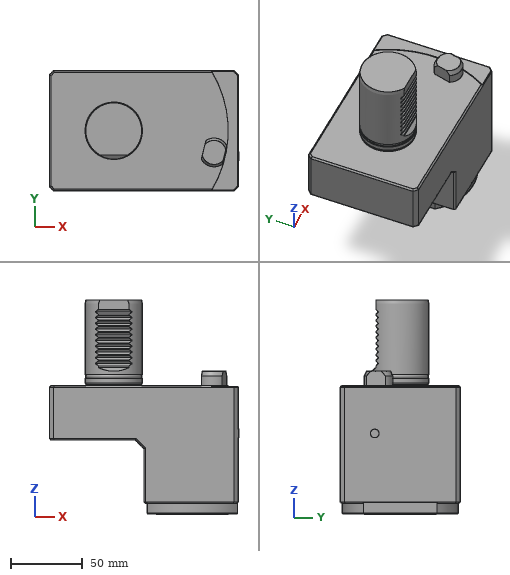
import cadquery as cq
import math

TOTAL_HEIGHT = 150.0

BODY_WIDTH = 84.0
BODY_LEFT = -45.0
BODY_RIGHT = 87.0
BODY_TOP = 90.2
BODY_BOTTOM = 7.8
ARM_THICKNESS = 38.1
LEG_LEFT = 21.0
INNER_CORNER_CHAMFER = 6.0
CORNER_CHAMFER = 3.0
EDGE_CHAMFER = 1.2

LAND_RADIUS = 80.0
LAND_STEP = 0.6

SHANK_RADIUS = 40.0 / 2
SHANK_TOP_RADIUS = 19.5
SHANK_TOP_BEVEL = 2.8
NECK_RADIUS = 39.0 / 2
NECK_HEIGHT = 0.9
NECK_BEVEL_HEIGHT = 1.0
RING_Z = 96.5
RING_GROOVE_WIDTH = 2.5
RING_CENTRE_RADIUS = 36.5 / 2
RING_SECTION_RADIUS = 3.0 / 2

FLAT_DISTANCE = 17.0
FLAT_BOTTOM = 102.8
RUNOUT_ANGLE = 40.0
TOOTH_DEPTH = 1.6
TOOTH_GAP_COUNT = 10
LOWEST_TOOTH_GAP = 105.6
HIGHEST_TOOTH_GAP = 141.6
TOOTH_PITCH = (HIGHEST_TOOTH_GAP - LOWEST_TOOTH_GAP) / (TOOTH_GAP_COUNT - 1)

PIN_RADIUS = 10.0
PIN_TOP_RADIUS = 8.4
PIN_FLAT_WIDTH = 15.0
PIN_TOP = 100.2
PIN_BEVEL_HEIGHT = 3.3
PIN_X = 70.0
PIN_Y = -15.2
PIN_ANGLE = -14.0

FLANGE_X = 54.9
FLANGE_RADIUS = 40.6
FLANGE_FLAT_WIDTH = 63.3
FLANGE_CHAMFER = 0.6
FLANGE_BOTTOM = 0.5
FACE_RADIUS = 50.0 / 2

BUTTON_RADIUS = 3.0
BUTTON_Y = -17.8
BUTTON_Z = 56.7
BUTTON_PROJECTION = 0.6

OVERLAP = 1.5


def cylinder(radius, bottom, top):
    return cq.Workplane("XY").workplane(offset=bottom).circle(radius).extrude(top - bottom)


def box_around(x, z):
    """Selects the edges whose centre lies close to the given X and Z, at any Y."""
    return cq.selectors.BoxSelector(
        (x - OVERLAP, -BODY_WIDTH, z - OVERLAP), (x + OVERLAP, BODY_WIDTH, z + OVERLAP)
    )


def make_body():
    arm_bottom = BODY_TOP - ARM_THICKNESS
    body = (
        cq.Workplane("XZ")
        .moveTo(BODY_LEFT, BODY_TOP)
        .lineTo(BODY_RIGHT, BODY_TOP)
        .lineTo(BODY_RIGHT, BODY_BOTTOM)
        .lineTo(LEG_LEFT, BODY_BOTTOM)
        .lineTo(LEG_LEFT, arm_bottom - INNER_CORNER_CHAMFER)
        .lineTo(LEG_LEFT - INNER_CORNER_CHAMFER, arm_bottom)
        .lineTo(BODY_LEFT, arm_bottom)
        .close()
        .extrude(BODY_WIDTH / 2, both=True)
    )
    body = body.edges("|Z and (<X or >X)").chamfer(CORNER_CHAMFER)
    arm_root = box_around(LEG_LEFT - INNER_CORNER_CHAMFER, arm_bottom)
    leg_edges = box_around(LEG_LEFT, (BODY_BOTTOM + arm_bottom - INNER_CORNER_CHAMFER) / 2)
    outline_edges = body.faces("<Y or >Y or |Z").edges(
        cq.selectors.StringSyntaxSelector("not |Z") - arm_root
    )
    return outline_edges.add(body.edges(leg_edges)).chamfer(EDGE_CHAMFER)


def cut_land_step(body):
    step_bottom = BODY_TOP - LAND_STEP
    blank = cq.Workplane("XY").box(
        BODY_RIGHT, BODY_WIDTH, LAND_STEP, centered=(False, True, False)
    ).translate((0, 0, step_bottom))
    return body.cut(blank.cut(cylinder(LAND_RADIUS, step_bottom, BODY_TOP)))


def make_shank():
    neck_top = BODY_TOP + NECK_HEIGHT
    ring_bottom = RING_Z - RING_GROOVE_WIDTH / 2
    ring_top = RING_Z + RING_GROOVE_WIDTH / 2
    ring_outer_radius = RING_CENTRE_RADIUS + RING_SECTION_RADIUS
    ring_wall_radius = RING_CENTRE_RADIUS + math.sqrt(RING_SECTION_RADIUS**2 - (RING_GROOVE_WIDTH / 2) ** 2)
    shank = (
        cq.Workplane("XZ")
        .moveTo(0, BODY_TOP - OVERLAP)
        .lineTo(NECK_RADIUS, BODY_TOP - OVERLAP)
        .lineTo(NECK_RADIUS, neck_top)
        .lineTo(SHANK_RADIUS, neck_top + NECK_BEVEL_HEIGHT)
        .lineTo(SHANK_RADIUS, ring_bottom)
        .lineTo(ring_wall_radius, ring_bottom)
        .threePointArc((ring_outer_radius, RING_Z), (ring_wall_radius, ring_top))
        .lineTo(SHANK_RADIUS, ring_top)
        .lineTo(SHANK_RADIUS, TOTAL_HEIGHT - SHANK_TOP_BEVEL)
        .lineTo(SHANK_TOP_RADIUS, TOTAL_HEIGHT)
        .lineTo(0, TOTAL_HEIGHT)
        .close()
        .revolve(360, (0, 0, 0), (0, 1, 0))
    )
    return shank.cut(make_rack_cutter())


def make_rack_cutter():
    outside = SHANK_RADIUS + OVERLAP
    runout_drop = (outside - FLAT_DISTANCE) * math.tan(math.radians(RUNOUT_ANGLE))
    cutter = (
        cq.Workplane("YZ")
        .moveTo(-FLAT_DISTANCE, TOTAL_HEIGHT)
        .lineTo(-FLAT_DISTANCE, FLAT_BOTTOM)
        .lineTo(-outside, FLAT_BOTTOM - runout_drop)
        .lineTo(-outside, TOTAL_HEIGHT)
        .close()
        .extrude(SHANK_RADIUS, both=True)
    )
    for index in range(TOOTH_GAP_COUNT):
        gap_z = LOWEST_TOOTH_GAP + index * TOOTH_PITCH
        gap = (
            cq.Workplane("YZ")
            .moveTo(-FLAT_DISTANCE + TOOTH_DEPTH, gap_z)
            .lineTo(-FLAT_DISTANCE, gap_z + TOOTH_DEPTH)
            .lineTo(-FLAT_DISTANCE, gap_z - TOOTH_DEPTH)
            .close()
            .extrude(SHANK_RADIUS, both=True)
        )
        cutter = cutter.union(gap)
    return cutter


def make_pin():
    pin_bottom = BODY_TOP - OVERLAP
    pin = (
        cq.Workplane("XZ")
        .moveTo(0, pin_bottom)
        .lineTo(PIN_RADIUS, pin_bottom)
        .lineTo(PIN_RADIUS, PIN_TOP - PIN_BEVEL_HEIGHT)
        .lineTo(PIN_TOP_RADIUS, PIN_TOP)
        .lineTo(0, PIN_TOP)
        .close()
        .revolve(360, (0, 0, 0), (0, 1, 0))
    )
    between_flats = cq.Workplane("XY").box(PIN_FLAT_WIDTH, 2 * PIN_RADIUS, 2 * PIN_TOP)
    pin = pin.intersect(between_flats)
    return pin.rotate((0, 0, 0), (0, 0, 1), PIN_ANGLE).translate((PIN_X, PIN_Y, 0))


def make_flange():
    flange = cylinder(FLANGE_RADIUS, FLANGE_BOTTOM, BODY_BOTTOM + OVERLAP)
    flange = flange.intersect(
        cq.Workplane("XY").box(FLANGE_FLAT_WIDTH, 2 * FLANGE_RADIUS, 2 * BODY_TOP)
    )
    flange = flange.faces("<Z").chamfer(FLANGE_CHAMFER)
    face = cylinder(FACE_RADIUS, 0, FLANGE_BOTTOM + OVERLAP)
    return flange.union(face).translate((FLANGE_X, 0, 0))


def make_button():
    return (
        cq.Workplane("YZ", origin=(BODY_RIGHT - OVERLAP, BUTTON_Y, BUTTON_Z))
        .circle(BUTTON_RADIUS)
        .extrude(OVERLAP + BUTTON_PROJECTION)
    )


result = (
    cut_land_step(make_body())
    .union(make_shank())
    .union(make_pin())
    .union(make_flange())
    .union(make_button())
)